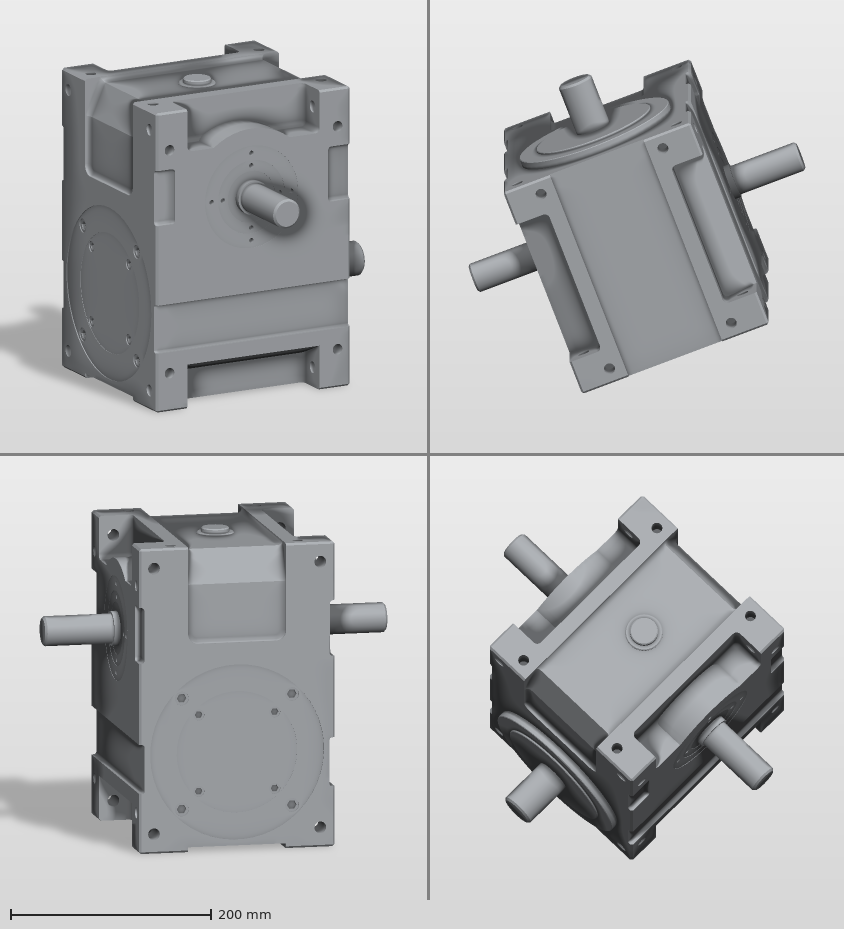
import cadquery as cq
import math


WIDTH = 200.0
DEPTH = 220.0
HEIGHT = 309.8
HALF_WIDTH = WIDTH / 2
EDGE_CHAMFER = 2.0
RELIEF = 5.2
OVERHANG = 17.5

SADDLE_WIDTH = 100.0
SADDLE_BOTTOM = 211.5
SLOPE_BOTTOM = 271.0
SLOPE_INSET = 20.3
SADDLE_FILLET = 5.0
SADDLE_CORNER = 10.0

FOOT_LENGTH = 35.0
POCKET_DEPTH = 34.3
POCKET_FILLET = 5.2
TOP_POCKET_FLOOR = 266.0
LOW_POCKET_OUTER = 46.0
LOW_POCKET_INNER = 30.8

FRONT_PAD_LENGTH = 21.0
BACK_PAD_LENGTH = 25.5
PAD_BOTTOM = 193.2
PAD_TOP = 250.2
PAD_FILLET = 4.0
BAND_BOTTOM = 61.2
BAND_TOP = 111.0
BAND_FILLET = 2.5

CROSS_LENGTH = 350.0
CROSS_Y = 107.8
CROSS_Z = 210.0
CROSS_DIAMETER = 30.0
COLLAR_DIAMETER = 35.0
COLLAR_HEIGHT = 5.2
BOSS_RADIUS = 70.7
SEAL_RADII = (53.0, 37.8, 26.5)
SEAL_STEP = 0.5
SEAL_SCREW_RADII = (45.0, 32.2)
SEAL_SCREW_DIAMETER = 5.0
SEAL_SCREW_DEPTH = 5.2

OUTPUT_Z = 100.0
OUTPUT_END = 282.0
OUTPUT_DIAMETER = 35.0
SHAFT_CHAMFER = 2.0
FLANGE_RADIUS = 79.8
FLANGE_HEIGHT = 8.0
RETAINER_RADIUS = 61.0
RETAINER_HEIGHT = 10.0
FLANGE_CHAMFER = 0.7

COVER_RADIUS = 89.0
COVER_SINK = 1.0
CAP_RADIUS = 61.5
CAP_SINK = 1.5
SOCKET_DEPTH = 5.2
HEAD_SINK = 1.0
COVER_SCREW_OFFSET = 56.5
COVER_SCREW_DIAMETER = 14.0
CAP_SCREW_OFFSET = 39.0
CAP_SCREW_DIAMETER = 11.2
SOCKET_RATIO = 0.7

THROUGH_DIAMETER = 12.0
THROUGH_X = 85.0
THROUGH_INSET = 20.0
TAPPED_DIAMETER = 11.0
TAPPED_DEPTH = 24.5
TAPPED_X = 65.0
TAPPED_END_INSET = 14.7
SIDE_TAPPED_INSET = 39.5

PLUG_Y = 100.0
PLUG_TOP = 310.5
PLUG_DIAMETER = 28.0
WASHER_DIAMETER = 37.8
WASHER_HEIGHT = 1.5
PLUG_CHAMFER = 1.0

SIDES = (-1, 1)


def box(x_range, y_range, z_range):
    """Box between two limits on each axis."""
    sizes = [high - low for low, high in (x_range, y_range, z_range)]
    corner = (x_range[0], y_range[0], z_range[0])
    return cq.Workplane("XY").box(*sizes, centered=False).translate(corner)


def rod(diameter, length, start, direction):
    """Cylinder from a start point along a direction."""
    solid = cq.Solid.makeCylinder(diameter / 2, length, cq.Vector(*start), cq.Vector(*direction))
    return cq.Workplane(solid)


def mirrored(shape):
    """A shape on the +X side joined with its mirror image on the -X side."""
    return shape.union(shape.mirror("YZ"))


def saddle_cutter():
    """Wrap-around relief with sloped shoulders, leaving a rounded core."""
    top = HEIGHT - RELIEF
    front = [
        (-OVERHANG, SADDLE_BOTTOM),
        (RELIEF, SADDLE_BOTTOM),
        (RELIEF, SLOPE_BOTTOM),
        (SLOPE_INSET, top),
    ]
    back = [(DEPTH - y, z) for y, z in reversed(front)]
    roof = [(DEPTH + OVERHANG, HEIGHT + OVERHANG), (-OVERHANG, HEIGHT + OVERHANG)]
    cutter = (
        cq.Workplane("YZ")
        .polyline(front + back + roof)
        .close()
        .extrude(SADDLE_WIDTH / 2, both=True)
    )
    cutter = cutter.faces("<Z").edges("|Y").fillet(SADDLE_CORNER)
    return cutter.faces("<X or >X").edges().fillet(SADDLE_FILLET)


def underside_groove():
    half = SADDLE_WIDTH / 2
    return box((-half, half), (-OVERHANG, DEPTH + OVERHANG), (-OVERHANG, RELIEF))


def top_pocket():
    """Pocket beside the top feet; the bearing boss stays standing in it."""
    pocket = box(
        (HALF_WIDTH - POCKET_DEPTH, HALF_WIDTH + OVERHANG),
        (FOOT_LENGTH, DEPTH - FOOT_LENGTH),
        (TOP_POCKET_FLOOR, HEIGHT + OVERHANG),
    ).edges().fillet(POCKET_FILLET)
    boss = rod(2 * BOSS_RADIUS, CROSS_LENGTH, (0, CROSS_Y, CROSS_Z), (1, 0, 0))
    return pocket.cut(boss)


def low_pocket():
    """Pocket between the bottom feet with a ceiling that slopes inwards."""
    inner = HALF_WIDTH - POCKET_DEPTH
    slope = (LOW_POCKET_OUTER - LOW_POCKET_INNER) / POCKET_DEPTH
    outline = [
        (inner, -OVERHANG),
        (inner, LOW_POCKET_INNER),
        (HALF_WIDTH + OVERHANG, LOW_POCKET_OUTER + slope * OVERHANG),
        (HALF_WIDTH + OVERHANG, -OVERHANG),
    ]
    cutter = cq.Workplane("XZ").polyline(outline).close().extrude(-(DEPTH - 2 * FOOT_LENGTH))
    cutter = cutter.translate((0, FOOT_LENGTH, 0))
    return cutter.faces("<X").edges("|Z").fillet(POCKET_FILLET)


def side_pad(y_range):
    """Shallow relief with rounded edges near one end of a side face."""
    return box(
        (HALF_WIDTH - RELIEF, HALF_WIDTH + OVERHANG), y_range, (PAD_BOTTOM, PAD_TOP)
    ).edges().fillet(PAD_FILLET)


def side_band():
    """Shallow band across the whole side face."""
    return box(
        (HALF_WIDTH - RELIEF, HALF_WIDTH + OVERHANG),
        (-OVERHANG, DEPTH + OVERHANG),
        (BAND_BOTTOM, BAND_TOP),
    ).edges().fillet(BAND_FILLET)


def make_housing():
    body = box((-HALF_WIDTH, HALF_WIDTH), (0, DEPTH), (0, HEIGHT)).edges().chamfer(EDGE_CHAMFER)
    body = body.cut(saddle_cutter()).cut(underside_groove())
    side_cutters = [
        top_pocket(),
        low_pocket(),
        side_pad((-OVERHANG, FRONT_PAD_LENGTH)),
        side_pad((DEPTH - BACK_PAD_LENGTH, DEPTH + OVERHANG)),
        side_band(),
    ]
    for cutter in side_cutters:
        body = body.cut(mirrored(cutter))
    return body


def drill_feet(body):
    """Holes through the feet along Y, and tapped holes from top, bottom and sides."""
    for side in SIDES:
        for z in (THROUGH_INSET, HEIGHT - THROUGH_INSET):
            body = body.cut(rod(THROUGH_DIAMETER, DEPTH, (side * THROUGH_X, 0, z), (0, 1, 0)))
        for y in (TAPPED_END_INSET, DEPTH - TAPPED_END_INSET):
            x = side * TAPPED_X
            body = body.cut(rod(TAPPED_DIAMETER, TAPPED_DEPTH, (x, y, 0), (0, 0, 1)))
            body = body.cut(rod(TAPPED_DIAMETER, TAPPED_DEPTH, (x, y, HEIGHT), (0, 0, -1)))
            for z in (SIDE_TAPPED_INSET, HEIGHT - SIDE_TAPPED_INSET):
                start = (side * HALF_WIDTH, y, z)
                body = body.cut(rod(TAPPED_DIAMETER, TAPPED_DEPTH, start, (-side, 0, 0)))
    return body


def socket_screw(diameter, offset_x, offset_z, surface_y):
    """Cutter for a sunk screw head with a hexagon socket."""
    centre = (offset_x, surface_y, OUTPUT_Z + offset_z)
    head = rod(diameter, HEAD_SINK, centre, (0, 1, 0))
    socket = cq.Workplane("XZ").polygon(6, SOCKET_RATIO * diameter).extrude(-SOCKET_DEPTH)
    return head.union(socket.translate(centre))


def cut_front_cover(body):
    """Sunk cover and cap on the output axis, each held by four socket screws."""
    rings = [
        (COVER_RADIUS, COVER_SINK, COVER_SCREW_OFFSET, COVER_SCREW_DIAMETER),
        (CAP_RADIUS, CAP_SINK, CAP_SCREW_OFFSET, CAP_SCREW_DIAMETER),
    ]
    for radius, sink, offset, diameter in rings:
        body = body.cut(rod(2 * radius, sink, (0, 0, OUTPUT_Z), (0, 1, 0)))
        for side in SIDES:
            for level in SIDES:
                body = body.cut(socket_screw(diameter, side * offset, level * offset, sink))
    return body


def cut_seals(body):
    """Stepped bearing cover around the cross shaft, with two rings of screw holes."""
    for side in SIDES:
        face = side * HALF_WIDTH
        inward = (-side, 0, 0)
        for step, radius in enumerate(SEAL_RADII, start=1):
            body = body.cut(rod(2 * radius, step * SEAL_STEP, (face, CROSS_Y, CROSS_Z), inward))
        for radius in SEAL_SCREW_RADII:
            for quarter in range(4):
                angle = quarter * math.pi / 2
                start = (face, CROSS_Y + radius * math.cos(angle), CROSS_Z + radius * math.sin(angle))
                body = body.cut(rod(SEAL_SCREW_DIAMETER, SEAL_SCREW_DEPTH, start, inward))
    return body


def make_cross_shaft():
    shaft = rod(CROSS_DIAMETER, CROSS_LENGTH, (-CROSS_LENGTH / 2, CROSS_Y, CROSS_Z), (1, 0, 0))
    shaft = shaft.edges().chamfer(SHAFT_CHAMFER)
    collar_end = HALF_WIDTH + COLLAR_HEIGHT
    collar = rod(COLLAR_DIAMETER, 2 * collar_end, (-collar_end, CROSS_Y, CROSS_Z), (1, 0, 0))
    return shaft.union(collar)


def make_output():
    """Stepped flange on the back face and the output shaft."""
    def turned(radius, end, chamfer):
        start_y = DEPTH - RELIEF
        disc = rod(2 * radius, end - start_y, (0, start_y, OUTPUT_Z), (0, 1, 0))
        return disc.faces(">Y").chamfer(chamfer)

    flange = turned(FLANGE_RADIUS, DEPTH + FLANGE_HEIGHT, FLANGE_CHAMFER)
    retainer = turned(RETAINER_RADIUS, DEPTH + RETAINER_HEIGHT, FLANGE_CHAMFER)
    shaft = turned(OUTPUT_DIAMETER / 2, OUTPUT_END, SHAFT_CHAMFER)
    return flange.union(retainer).union(shaft)


def make_plug():
    floor = HEIGHT - RELIEF
    washer = rod(WASHER_DIAMETER, WASHER_HEIGHT, (0, PLUG_Y, floor), (0, 0, 1))
    washer = washer.faces(">Z").chamfer(PLUG_CHAMFER)
    plug = rod(PLUG_DIAMETER, PLUG_TOP - floor, (0, PLUG_Y, floor), (0, 0, 1))
    return washer.union(plug.faces(">Z").chamfer(PLUG_CHAMFER))


housing = cut_seals(cut_front_cover(drill_feet(make_housing())))
result = housing.union(make_cross_shaft()).union(make_output()).union(make_plug())